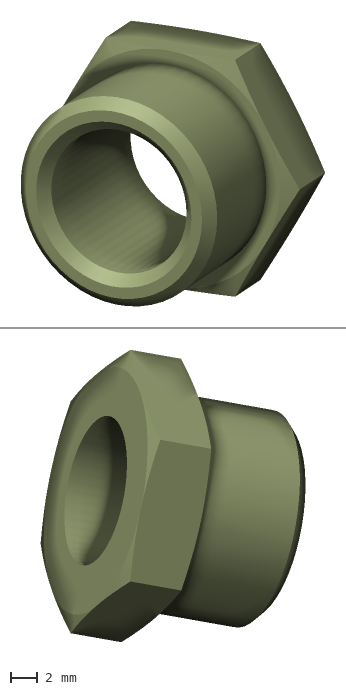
import cadquery as cq
import math

across_flats = 19.0
hex_length = 5.0
total_length = 14.0
hex_chamfer_angle = 15.0
spigot_diameter = 16.66
spigot_tip_diameter = 14.95
bore_diameter = 11.45
bore_mouth_diameter = 13.16

across_corners = across_flats / math.cos(math.radians(30))
flat_radius = across_flats / 2
corner_radius = across_corners / 2
corner_drop = (corner_radius - flat_radius) * math.tan(math.radians(hex_chamfer_angle))
spigot_radius = spigot_diameter / 2
spigot_chamfer = (spigot_diameter - spigot_tip_diameter) / 2
bore_radius = bore_diameter / 2
bore_mouth_radius = bore_mouth_diameter / 2
bore_chamfer = bore_mouth_radius - bore_radius

hex_back = hex_length
hex_front = 0.0
spigot_end = hex_length - total_length


def revolve_about_y(profile):
    """Revolve a closed outline of (radius, y) points about the Y axis."""
    return cq.Workplane("XY").polyline(profile).close().revolve(360, (0, 0, 0), (0, 1, 0))


def hex_head():
    """Hexagon with corners on X, its corners bevelled by a cone at both ends."""
    prism = cq.Workplane("XZ", origin=(0, hex_back, 0)).polygon(6, across_corners).extrude(hex_length)
    bevel_envelope = revolve_about_y([
        (0, hex_front),
        (flat_radius, hex_front),
        (corner_radius, hex_front + corner_drop),
        (corner_radius, hex_back - corner_drop),
        (flat_radius, hex_back),
        (0, hex_back),
    ])
    return prism.intersect(bevel_envelope)


def spigot():
    """Plain cylinder in front of the head with a chamfered free end."""
    length = hex_front - spigot_end
    cylinder = cq.Workplane("XZ", origin=(0, hex_front, 0)).circle(spigot_radius).extrude(length)
    return cylinder.faces("<Y").chamfer(spigot_chamfer)


def bore():
    """Through bore, countersunk at the spigot end."""
    return revolve_about_y([
        (0, spigot_end),
        (bore_mouth_radius, spigot_end),
        (bore_radius, spigot_end + bore_chamfer),
        (bore_radius, hex_back),
        (0, hex_back),
    ])


result = hex_head().union(spigot()).cut(bore())